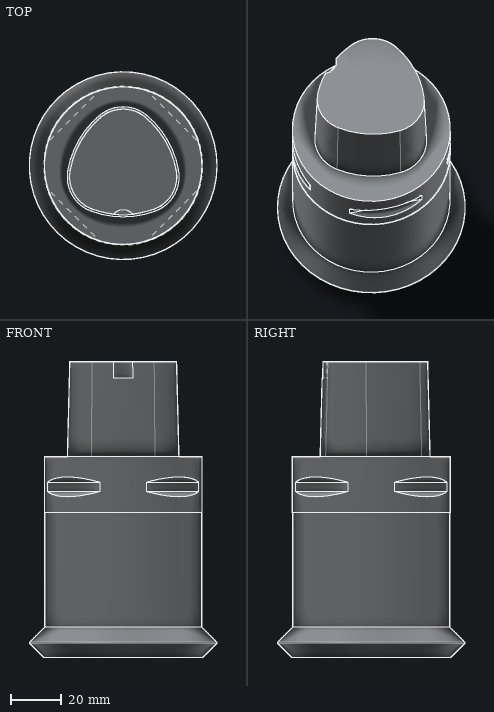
import cadquery as cq
import math

total_height = 118.0
split_height = 57.8
shoulder_height = 80.1

base_diameter = 62.7
foot_diameter = 74.9
foot_edge_radius = 0.4
foot_sharp_radius = foot_diameter / 2 + foot_edge_radius * (math.sqrt(2) - 1)
foot_edge_height = 5.9
foot_height = foot_edge_height + foot_sharp_radius - base_diameter / 2

collar_diameter = 63.0
shank_lobe_reach = 22.5
shank_side_reach = 19.5
shank_lobe_radius = 13.7
shank_taper = 1 / 40

groove_count = 4
groove_start_angle = 45.0
groove_depth = 3.7
groove_floor_width = 3.7
groove_flank_angle = 30.0
groove_height = shoulder_height - 12.0

notch_radius = 5.1
notch_depth = 6.5
notch_inner_reach = 17.6


def polar(radius, degrees):
    """Point at a given distance and direction from the axis."""
    angle = math.radians(degrees)
    return (radius * math.cos(angle), radius * math.sin(angle))


def shank_section(height, growth):
    """Wire of three lobe arcs joined tangentially by three flatter side arcs."""
    lobe_center = shank_lobe_reach - shank_lobe_radius
    lobe_radius = shank_lobe_radius + growth
    lobe_reach = shank_lobe_reach + growth
    side_reach = shank_side_reach + growth

    lobe_x = lobe_center * math.sin(math.radians(60))
    lobe_y = lobe_center * math.cos(math.radians(60))
    gap = side_reach - lobe_y
    side_radius = (gap**2 + lobe_x**2 - lobe_radius**2) / (2 * (gap - lobe_radius))

    lean = math.atan2(lobe_x, side_radius - gap)
    joint_x = side_radius * math.sin(lean)
    joint_y = side_reach - side_radius * (1 - math.cos(lean))
    joint_reach = math.hypot(joint_x, joint_y)
    joint_offset = 60 - math.degrees(math.atan2(joint_x, joint_y))

    section = cq.Workplane("XY", origin=(0, 0, height)).moveTo(*polar(joint_reach, 90 - joint_offset))
    for lobe_angle in (90, 210, 330):
        section = section.threePointArc(
            polar(lobe_reach, lobe_angle), polar(joint_reach, lobe_angle + joint_offset)
        )
        section = section.threePointArc(
            polar(side_reach, lobe_angle + 60), polar(joint_reach, lobe_angle + 120 - joint_offset)
        )
    return section.close().val()


def make_shank():
    """Tapered shank standing on the collar, with the notch in its -Y side."""
    growth = shank_taper * (total_height - shoulder_height)
    bottom = shank_section(shoulder_height, growth)
    top = shank_section(total_height, 0)
    shank = cq.Workplane(cq.Solid.makeLoft([bottom, top], True))
    notch = (
        cq.Workplane("XY", origin=(0, -notch_inner_reach - notch_radius, total_height - notch_depth))
        .circle(notch_radius)
        .extrude(notch_depth)
    )
    return shank.cut(notch)


def make_groove(angle):
    """Straight cutter with sloping flanks, laid across the collar at one angle."""
    outer_radius = collar_diameter / 2
    floor_radius = outer_radius - groove_depth
    floor_half = groove_floor_width / 2
    mouth_half = floor_half + groove_depth * math.tan(math.radians(groove_flank_angle))
    return (
        cq.Workplane("XZ")
        .moveTo(floor_radius, groove_height - floor_half)
        .lineTo(outer_radius, groove_height - mouth_half)
        .lineTo(outer_radius, groove_height + mouth_half)
        .lineTo(floor_radius, groove_height + floor_half)
        .close()
        .extrude(outer_radius, both=True)
        .rotate((0, 0, 0), (0, 0, 1), angle)
    )


def make_holder():
    """Grooved collar and shank as one body."""
    holder = (
        cq.Workplane("XY", origin=(0, 0, split_height))
        .circle(collar_diameter / 2)
        .extrude(shoulder_height - split_height)
    )
    for index in range(groove_count):
        holder = holder.cut(make_groove(groove_start_angle + index * 360 / groove_count))
    return holder.union(make_shank())


def make_base():
    """Turned cylinder whose foot bevels out to a rounded edge and back in."""
    base_radius = base_diameter / 2
    bottom_radius = foot_sharp_radius - foot_edge_height
    tangent_offset = foot_edge_radius * math.sin(math.radians(45))
    tangent_radius = foot_sharp_radius - tangent_offset
    profile = (
        cq.Workplane("XZ")
        .lineTo(bottom_radius, 0)
        .lineTo(tangent_radius, foot_edge_height - tangent_offset)
        .threePointArc(
            (foot_diameter / 2, foot_edge_height), (tangent_radius, foot_edge_height + tangent_offset)
        )
        .lineTo(base_radius, foot_height)
        .lineTo(base_radius, split_height)
        .lineTo(0, split_height)
        .close()
    )
    return profile.revolve(360, (0, 0, 0), (0, 1, 0))


holder = make_holder()
base = make_base()
result = cq.Compound.makeCompound([holder.val(), base.val()])